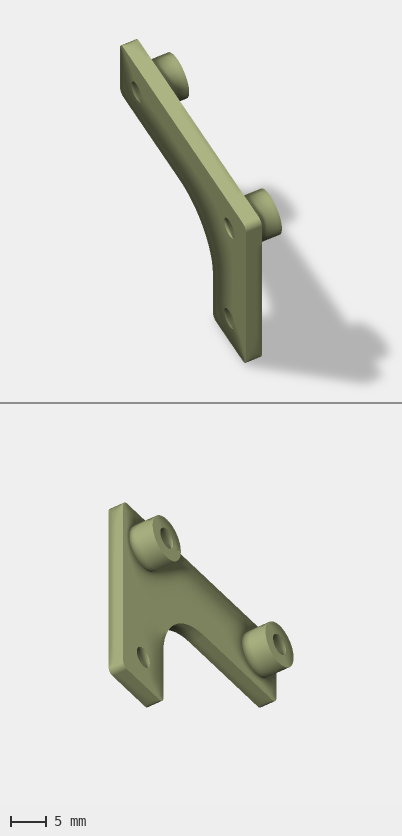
import cadquery as cq

length = 38.0
height = 30.5
thickness = 2.5
upper_arm_width = 11.0
right_arm_width = 10.0
corner_radius = 1.0
inner_radius = 10.0

hole_diameter = 3.2
boss_diameter = 7.0
boss_height = 4.0
hole_inset = 5.0
left_hole_x = hole_inset
right_hole_x = length - hole_inset
upper_hole_z = height - upper_arm_width / 2
lower_hole_z = hole_inset

upper_holes = [(left_hole_x, upper_hole_z), (right_hole_x, upper_hole_z)]
all_holes = upper_holes + [(right_hole_x, lower_hole_z)]

inner_x = length - right_arm_width
inner_z = height - upper_arm_width


def cylinders(centers, diameter, start_y, depth):
    """Cylinders along +Y, starting at start_y, at the given (x, z) centers."""
    plane = cq.Workplane("XZ").workplane(offset=-start_y)
    return plane.pushPoints(centers).circle(diameter / 2).extrude(-depth)


def make_plate():
    """L-shaped plate with its front face at Y = 0 and rounded corners."""
    outline = [
        (0, height),
        (length, height),
        (length, 0),
        (inner_x, 0),
        (inner_x, inner_z),
        (0, inner_z),
    ]
    plate = cq.Workplane("XZ").polyline(outline).close().extrude(-thickness)
    inner_edge = cq.selectors.NearestToPointSelector((inner_x, thickness / 2, inner_z))
    plate = plate.edges("|Y").edges(inner_edge).fillet(inner_radius)

    outer_corners = [point for point in outline if point != (inner_x, inner_z)]
    for x, z in outer_corners:
        corner_edge = cq.selectors.NearestToPointSelector((x, thickness / 2, z))
        plate = plate.edges("|Y").edges(corner_edge).fillet(corner_radius)
    return plate


bosses = cylinders(upper_holes, boss_diameter, thickness, boss_height)
holes = cylinders(all_holes, hole_diameter, 0, thickness + boss_height)

result = make_plate().union(bosses).cut(holes)